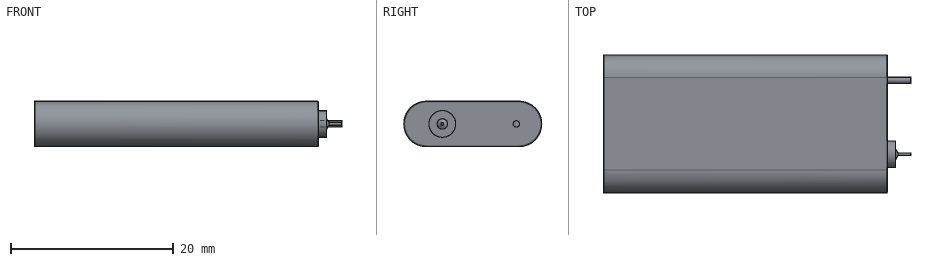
import cadquery as cq

overall_length = 37.88
body_width = 17.0
body_thickness = 5.6
pin_length = 2.9
body_length = overall_length - pin_length
end_edge_radius = 0.1

thick_pin_diameter = 0.8
thick_pin_y = 5.38

thin_pin_diameter = 0.35
thin_pin_y = -3.75
collar_diameter = 3.3
collar_length = 1.02
seal_radius = 0.65
seal_height = 0.3


def end_cylinder(y, diameter, length):
    """Cylinder standing on the +X end face of the body."""
    return (
        cq.Workplane("YZ", origin=(body_length, y, 0))
        .circle(diameter / 2)
        .extrude(length)
    )


def make_body():
    """Flat body with fully rounded long sides and a softened edge at the terminal end."""
    body = cq.Workplane("YZ").slot2D(body_width, body_thickness).extrude(body_length)
    return body.faces(">X").edges().fillet(end_edge_radius)


def make_seal():
    """Cone on the collar, narrowing to the thin pin."""
    return (
        cq.Workplane("YZ", origin=(body_length + collar_length, thin_pin_y, 0))
        .circle(seal_radius)
        .workplane(offset=seal_height)
        .circle(thin_pin_diameter / 2)
        .loft()
    )


result = (
    make_body()
    .union(end_cylinder(thick_pin_y, thick_pin_diameter, pin_length))
    .union(end_cylinder(thin_pin_y, collar_diameter, collar_length))
    .union(make_seal())
    .union(end_cylinder(thin_pin_y, thin_pin_diameter, pin_length))
)